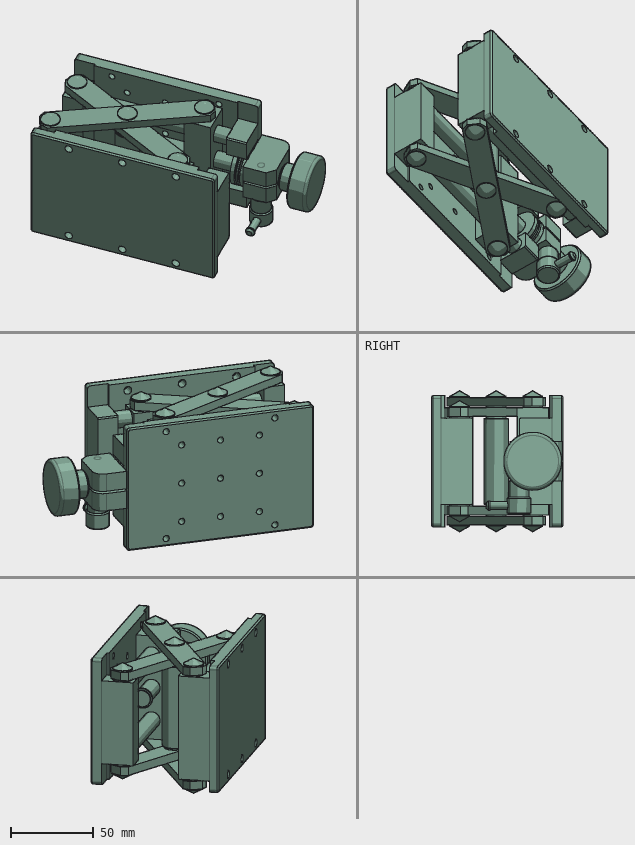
import cadquery as cq
import math


PLATE_LENGTH = 120.0
PLATE_WIDTH = 80.0
STAGE_HEIGHT = 80.0
PLATE_THICKNESS = 8.2
PLATE_CORNER = 2.0
PLATE_BEVEL = 1.0
FRONT_SEAT_DEPTH = 2.5
REAR_SEAT_DEPTH = 1.3
HALF_HEIGHT = STAGE_HEIGHT / 2

SIDE_HOLE_RADIUS = 2.5
SIDE_HOLE_PITCH = 35.0
GRID_HOLE_RADIUS = 2.0
GRID_PITCH = 25.0

PIVOT_X = 6.4
PIVOT_SPAN = 83.0
REAR_Y = 21.5
FRONT_Y = -22.8
PIN_RADIUS = 6.0
PIN_STEP = 0.73
CONE_HEIGHT = 3.5
ARM_HALF_WIDTH = 7.3
ARM_OVERHANG = 6.2
ARM_CHAMFER = 3.5
OUTER_ARM = (33.5, 38.7)
INNER_ARM = (27.3, 32.6)
ROLLER_RADIUS = 7.5
ROLLER_HALF_LENGTH = 26.1
ROLLER_CHAMFER = 0.5

BLOCK_LENGTH = 13.4
BRACKET_LENGTH = 13.0
NARROW_HALF = 26.3
WIDE_HALF = 32.6
BLOCK_INNER_REAR = 13.4
BLOCK_INNER_FRONT = -14.9
REAR_SLIDER_X = (80.0, 97.3)
REAR_SLIDER_Y = (12.0, 31.3)
FRONT_SLIDER_X = (79.0, 96.8)
FRONT_SLIDER_Y = (-30.7, BLOCK_INNER_FRONT)
BRACKET_CHAMFER = 0.8
ROD_RADIUS = 5.2
ROD_Z = 20.5

CLAMP_LENGTH = 20.0
CLAMP_Y = (7.7, 39.5)
CLAMP_HALF = 12.0
CLAMP_ROUND = 6.9
CLAMP_CHAMFER = 4.9
SLIT_WIDTH = 1.5
LOCK_X = 129.8
LOCK_Y = 13.2
LOCK_SCREW_RADIUS = 3.0
LOCK_TIP_RADIUS = 2.1
LOCK_SHAFT_RADIUS = 6.2
LOCK_SHAFT_END = -21.7
LOCK_HEAD_RADIUS = 7.2
LOCK_HEAD_END = -32.2
LOCK_EDGE = 0.8
HANDLE_RADIUS = 2.5
HANDLE_TIP_RADIUS = 3.0
HANDLE_TIP_LENGTH = 2.3
HANDLE_END_Y = -6.7
HANDLE_CHAMFER = 1.3

SCREW_RADIUS = 5.2
SCREW_START = 54.8
RING_RADIUS = 6.2
RING_X = 55.8
RING_WIDTH = 1.1
COLLAR_RADIUS = 12.2
COLLARS = ((110.8, 113.6), (114.7, 115.9), (117.2, PLATE_LENGTH))
COLLAR_CORE_RADIUS = 10.6
CHANNEL_HALF = 13.4
NECK_RADIUS = 6.2
HUB_X = 140.9
HUB_RADIUS = 8.7
HUB_CHAMFER = 1.0
KNOB_X = 149.7
KNOB_END = 162.2
KNOB_RADIUS = 17.6
KNOB_CHAMFER = 1.0
KNOB_FILLET = 2.0

REAR_SEAT_Y = HALF_HEIGHT - PLATE_THICKNESS + REAR_SEAT_DEPTH
FRONT_SEAT_Y = -HALF_HEIGHT + PLATE_THICKNESS - FRONT_SEAT_DEPTH
BRACKET_X = PLATE_LENGTH - BRACKET_LENGTH
FAR_PIVOT_X = PIVOT_X + PIVOT_SPAN


def box(x, y, z):
    """Box between the (low, high) limits on each axis."""
    return cq.Workplane("XY").box(x[1] - x[0], y[1] - y[0], z[1] - z[0], centered=False).translate(
        (x[0], y[0], z[0])
    )


def cylinder_x(x, y, z, radius):
    """Cylinder along X between the limits x."""
    return cq.Workplane("YZ", origin=(x[0], y, z)).circle(radius).extrude(x[1] - x[0])


def cylinder_z(x, y, z, radius):
    """Cylinder along Z between the limits z."""
    return cq.Workplane("XY", origin=(x, y, z[0])).circle(radius).extrude(z[1] - z[0])


def holes_along_y(points, radius):
    """Long cutters along Y through the given (x, z) points."""
    cutters = cq.Workplane("XZ", origin=(0, HALF_HEIGHT, 0)).pushPoints(points).circle(radius)
    return cutters.extrude(STAGE_HEIGHT)


def plate(side, seat_depth):
    """Plate on the rear (side = 1) or front (side = -1), thinned where the end blocks sit."""
    outer_y = side * HALF_HEIGHT
    inner_y = outer_y - side * PLATE_THICKNESS
    slab = box(
        (0, PLATE_LENGTH),
        sorted((outer_y, inner_y)),
        (-PLATE_WIDTH / 2, PLATE_WIDTH / 2),
    )
    outer_face = ">Y" if side > 0 else "<Y"
    slab = slab.edges("|Y").fillet(PLATE_CORNER).faces(outer_face).chamfer(PLATE_BEVEL)
    seat_y = sorted((inner_y, inner_y + side * seat_depth))
    for seat_x in ((0, BLOCK_LENGTH), (BRACKET_X, PLATE_LENGTH)):
        slab = slab.cut(box(seat_x, seat_y, (-PLATE_WIDTH / 2, PLATE_WIDTH / 2)))
    return slab


def plate_points(x_steps, x_pitch, z_steps, z_pitch):
    """(x, z) points at whole steps of the pitches from the plate middle."""
    return [(PLATE_LENGTH / 2 + i * x_pitch, j * z_pitch) for i in x_steps for j in z_steps]


def front_plate():
    """Front plate with a row of three holes along each long side."""
    rows = plate_points((-1, 0, 1), SIDE_HOLE_PITCH, (-1, 1), SIDE_HOLE_PITCH)
    return plate(-1, FRONT_SEAT_DEPTH).cut(holes_along_y(rows, SIDE_HOLE_RADIUS))


def rear_plate():
    """Rear plate with a square grid of mounting holes and one hole at each corner."""
    grid = plate_points((-1, 0, 1), GRID_PITCH, (-1, 0, 1), GRID_PITCH)
    corners = plate_points((-1, 1), SIDE_HOLE_PITCH, (-1, 1), SIDE_HOLE_PITCH)
    return plate(1, REAR_SEAT_DEPTH).cut(holes_along_y(grid + corners, GRID_HOLE_RADIUS))


def guide_blocks():
    """End blocks, sliders and brackets that carry the rods and the arm pivots."""
    narrow = (-NARROW_HALF, NARROW_HALF)
    wide = (-WIDE_HALF, WIDE_HALF)
    rear_y = (BLOCK_INNER_REAR, REAR_SEAT_Y)
    front_y = (FRONT_SEAT_Y, BLOCK_INNER_FRONT)
    start_x = (0, BLOCK_LENGTH)
    end_x = (BRACKET_X, PLATE_LENGTH)
    rear_bracket = box(end_x, rear_y, narrow).edges("|X and <Y").chamfer(BRACKET_CHAMFER)
    channel = box(end_x, rear_y, (-CHANNEL_HALF, CHANNEL_HALF))
    front_bracket = box(end_x, front_y, narrow).edges("|X and >Y").chamfer(BRACKET_CHAMFER)
    return [
        box(start_x, rear_y, narrow),
        box(start_x, front_y, wide),
        box(REAR_SLIDER_X, REAR_SLIDER_Y, wide),
        box(FRONT_SLIDER_X, FRONT_SLIDER_Y, narrow),
        rear_bracket.cut(channel),
        front_bracket,
    ]


def guide_rods():
    """Four rods between the end blocks and the brackets."""
    span = (BLOCK_LENGTH, BRACKET_X)
    return [cylinder_x(span, y, z, ROD_RADIUS) for y in (REAR_Y, FRONT_Y) for z in (-ROD_Z, ROD_Z)]


def arm(start_y, end_y, z):
    """Flat arm with chamfered ends, between the pivots at start_y and end_y."""
    rise = end_y - start_y
    length = math.hypot(PIVOT_SPAN, rise) + 2 * ARM_OVERHANG
    bar = cq.Workplane("XY").box(length, 2 * ARM_HALF_WIDTH, z[1] - z[0])
    bar = bar.edges("|Z").chamfer(ARM_CHAMFER)
    angle = math.degrees(math.atan2(rise, PIVOT_SPAN))
    centre = (PIVOT_X + PIVOT_SPAN / 2, (start_y + end_y) / 2, (z[0] + z[1]) / 2)
    return bar.rotate((0, 0, 0), (0, 0, 1), angle).translate(centre)


def pivot_pin(x, y, half_length):
    """Pin across the stage with a cone on each end; half_length reaches the cone base."""
    profile = (
        cq.Workplane("XZ", origin=(x, y, 0))
        .moveTo(0, -half_length - CONE_HEIGHT)
        .lineTo(PIN_RADIUS, -half_length)
        .lineTo(PIN_RADIUS, half_length)
        .lineTo(0, half_length + CONE_HEIGHT)
        .close()
    )
    return profile.revolve(360, (0, 0, 0), (0, 1, 0))


def scissor():
    """Two arm pairs, their pins and the roller on the middle pin."""
    parts = []
    for side in (-1, 1):
        parts.append(arm(FRONT_Y, REAR_Y, sorted(side * z for z in OUTER_ARM)))
        parts.append(arm(REAR_Y, FRONT_Y, sorted(side * z for z in INNER_ARM)))
    outer_pin = OUTER_ARM[1] + PIN_STEP
    inner_pin = INNER_ARM[1] + PIN_STEP
    middle_x = PIVOT_X + PIVOT_SPAN / 2
    middle_y = (REAR_Y + FRONT_Y) / 2
    parts.append(pivot_pin(PIVOT_X, FRONT_Y, outer_pin))
    parts.append(pivot_pin(FAR_PIVOT_X, REAR_Y, outer_pin))
    parts.append(pivot_pin(PIVOT_X, REAR_Y, inner_pin))
    parts.append(pivot_pin(FAR_PIVOT_X, FRONT_Y, inner_pin))
    parts.append(pivot_pin(middle_x, middle_y, outer_pin))
    roller = cylinder_z(middle_x, middle_y, (-ROLLER_HALF_LENGTH, ROLLER_HALF_LENGTH), ROLLER_RADIUS)
    parts.append(roller.faces("|Z").chamfer(ROLLER_CHAMFER))
    return parts


def clamp_block():
    """Slit block that grips the drive screw."""
    clamp_x = (PLATE_LENGTH, PLATE_LENGTH + CLAMP_LENGTH)
    block = box(clamp_x, CLAMP_Y, (-CLAMP_HALF, CLAMP_HALF))
    block = block.edges("|Z and >X and >Y").fillet(CLAMP_ROUND)
    block = block.edges("|Z and >X and <Y").chamfer(CLAMP_CHAMFER)
    return block.cut(box(clamp_x, CLAMP_Y, (-SLIT_WIDTH / 2, SLIT_WIDTH / 2)))


def lock_screw():
    """Screw through the clamp block, with a round head and a cross handle."""
    handle_z = (LOCK_SHAFT_END + LOCK_HEAD_END) / 2
    tip = cylinder_z(LOCK_X, LOCK_Y, (0, CLAMP_HALF), LOCK_TIP_RADIUS)
    core = cylinder_z(LOCK_X, LOCK_Y, (-CLAMP_HALF, SLIT_WIDTH), LOCK_SCREW_RADIUS)
    shaft = cylinder_z(LOCK_X, LOCK_Y, (LOCK_SHAFT_END, -CLAMP_HALF), LOCK_SHAFT_RADIUS)
    head = cylinder_z(LOCK_X, LOCK_Y, (LOCK_HEAD_END, LOCK_SHAFT_END), LOCK_HEAD_RADIUS)
    head = head.faces("|Z").chamfer(LOCK_EDGE)
    stem = cq.Workplane("XZ", origin=(LOCK_X, LOCK_Y, handle_z)).circle(HANDLE_RADIUS)
    tip_y = HANDLE_END_Y + HANDLE_TIP_LENGTH
    stem = stem.extrude(LOCK_Y - tip_y)
    grip = cq.Workplane("XZ", origin=(LOCK_X, tip_y, handle_z))
    grip = grip.circle(HANDLE_TIP_RADIUS).extrude(HANDLE_TIP_LENGTH)
    grip = grip.faces("<Y").chamfer(HANDLE_CHAMFER)
    return [tip, core, shaft, head, stem, grip]


def screw_clearance():
    """Bores for the drive screw and its collars."""
    shank = cylinder_x((SCREW_START, PLATE_LENGTH), REAR_Y, 0, SCREW_RADIUS)
    neck = cylinder_x((PLATE_LENGTH, HUB_X), REAR_Y, 0, NECK_RADIUS)
    collars = cylinder_x((BRACKET_X, PLATE_LENGTH), REAR_Y, 0, COLLAR_RADIUS)
    return shank.union(neck).union(collars)


def make_stage():
    """Plates, blocks, rods, scissor arms and clamp as one solid."""
    parts = [front_plate()]
    parts += guide_blocks() + guide_rods() + scissor() + [clamp_block()] + lock_screw()
    stage = rear_plate()
    for part in parts:
        stage = stage.union(part, clean=False)
    return stage.cut(screw_clearance(), clean=False)


def make_drive_screw():
    """Drive screw with retaining ring, thrust collars, hub and knob."""
    screw = cylinder_x((SCREW_START, PLATE_LENGTH), REAR_Y, 0, SCREW_RADIUS)
    screw = screw.union(cylinder_x((RING_X, RING_X + RING_WIDTH), REAR_Y, 0, RING_RADIUS))
    core_x = (COLLARS[0][0], COLLARS[-1][1])
    screw = screw.union(cylinder_x(core_x, REAR_Y, 0, COLLAR_CORE_RADIUS))
    for collar_x in COLLARS:
        screw = screw.union(cylinder_x(collar_x, REAR_Y, 0, COLLAR_RADIUS))
    screw = screw.union(cylinder_x((PLATE_LENGTH, HUB_X), REAR_Y, 0, NECK_RADIUS))
    hub = cylinder_x((HUB_X, KNOB_X), REAR_Y, 0, HUB_RADIUS).faces("<X").chamfer(HUB_CHAMFER)
    knob = cylinder_x((KNOB_X, KNOB_END), REAR_Y, 0, KNOB_RADIUS)
    knob = knob.faces("<X").chamfer(KNOB_CHAMFER).faces(">X").fillet(KNOB_FILLET)
    return screw.union(hub).union(knob)


stage = make_stage()
drive_screw = make_drive_screw()

result = cq.Compound.makeCompound([*stage.solids().vals(), drive_screw.val()])